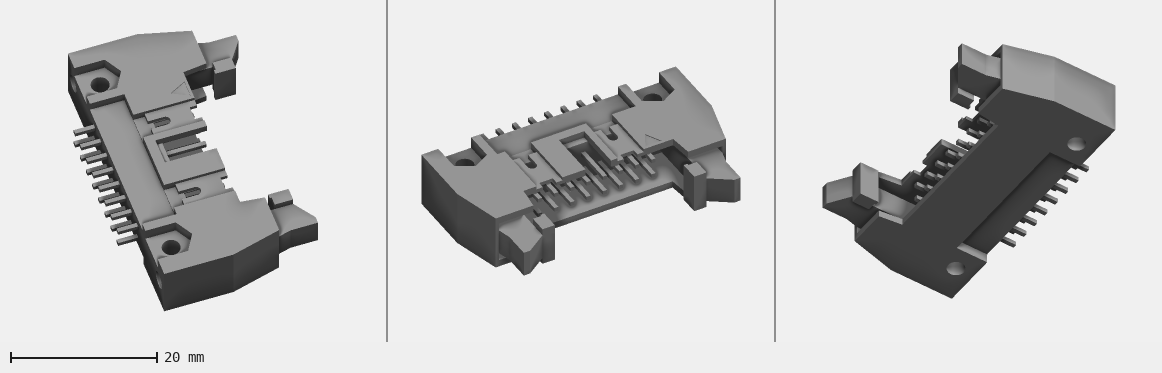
import cadquery as cq


body_width = 39.9
body_height = 8.5
shoulder_y = 10.0
mouth_y = 13.85
lower_lip_y = 13.73
tower_y = 17.3
tower_outer_x = 18.05
tower_inner_x = 12.13
tower_root_x = 11.75

pitch = 2.54
columns = 8
pin_size = 0.65
pin_tail = 2.9
pin_tip_y = 13.45

wall = 1.08
cavity_back_y = 7.4

recess_length = 5.0
top_recess_width = 21.7
top_recess_depth = 1.35
base_recess_width = 22.65
base_recess_depth = 1.5

key_width = 4.0
key_back_y = 6.4

channel_centers = (-2 * pitch, 3 * pitch)
channel_width = 4.05
channel_depth = 0.5
channel_step_y = 6.62
channel_step_depth = 1.15
slot_width = 1.35
slot_end_y = 9.6
notch_width = 2.1
notch_length = 1.05

hole_diameter = 2.6
mount_x = 14.72
mount_y = 2.85
pocket_width = 5.15
pocket_side_y = 4.4
pocket_apex_y = 5.85
pocket_depth = 1.8
end_hole_x = 17.75
end_hole_z = 4.4
end_hole_depth = 5.0

latch_outer_x = 17.5
latch_neck_x = 17.0
latch_crest_x = 16.0
latch_inner_x = 12.85
latch_bend_y = 19.3
latch_tip_y = 23.3
latch_thickness = 3.95
head_reach = 1.9
head_top_y = 21.15
head_base_y = 18.47
head_height = 6.0
hook_width = 0.65
hook_drop = 0.28

mark_width = 2.55
mark_top_y = 13.45
mark_tip_y = 11.0
mark_depth = 0.1

half_width = body_width / 2
mid_z = body_height / 2
first_pin_x = -pitch * (columns - 1) / 2


def box(x_range, y_range, z_range):
    """Box spanning the given (low, high) range along each axis."""
    spans = (x_range, y_range, z_range)
    size = [high - low for low, high in spans]
    corner = tuple(low for low, high in spans)
    return cq.Workplane("XY").box(*size, centered=False).translate(corner)


def centered_box(center_x, width, y_range, z_range):
    return box((center_x - width / 2, center_x + width / 2), y_range, z_range)


def prism(points, z_range):
    """Straight-sided outline in XY, raised through a Z range."""
    low, high = z_range
    return cq.Workplane("XY").workplane(offset=low).polyline(points).close().extrude(high - low)


def both_sides(shape):
    return shape.union(shape.mirror("YZ"))


def from_top(depth):
    """Z range of a cut of the given depth in the top face."""
    return (body_height - depth, body_height)


def about_middle(height):
    """Z range of the given height centred on the housing."""
    return (mid_z - height / 2, mid_z + height / 2)


def housing():
    right_side = [
        (half_width, 0),
        (half_width, shoulder_y),
        (tower_outer_x, tower_y),
        (tower_inner_x, tower_y),
        (tower_root_x, mouth_y),
    ]
    left_side = [(-x, y) for x, y in reversed(right_side)]
    return prism(right_side + left_side, (0, body_height))


def cavity():
    return centered_box(0, 2 * latch_outer_x, (cavity_back_y, tower_y), (wall, body_height - wall))


def lower_lip_setback():
    return centered_box(0, 2 * tower_root_x, (lower_lip_y, mouth_y), (0, wall))


def solder_side_recesses():
    top = centered_box(0, top_recess_width, (0, recess_length), from_top(top_recess_depth))
    base = centered_box(0, base_recess_width, (0, recess_length), (0, base_recess_depth))
    return top.union(base)


def key_window():
    return centered_box(0, key_width, (key_back_y, mouth_y), from_top(wall))


def spring_channel(center_x):
    """Stepped channel with a round-ended slot and a notch at the mouth."""
    floor = centered_box(center_x, channel_width, (recess_length, mouth_y), from_top(channel_depth))
    step = centered_box(
        center_x, channel_width, (recess_length, channel_step_y), from_top(channel_step_depth)
    )
    arc_y = slot_end_y - slot_width / 2
    slot = centered_box(center_x, slot_width, (channel_step_y, arc_y), from_top(channel_step_depth))
    slot_end = (
        cq.Workplane("XY")
        .workplane(offset=body_height - channel_step_depth)
        .center(center_x, arc_y)
        .circle(slot_width / 2)
        .extrude(channel_step_depth)
    )
    notch = centered_box(center_x, notch_width, (mouth_y - notch_length, mouth_y), from_top(wall))
    return floor.union(step).union(slot).union(slot_end).union(notch)


def mounting_cuts():
    """Pointed pocket with a through hole, and a blind hole in the solder side."""
    left = mount_x - pocket_width / 2
    right = mount_x + pocket_width / 2
    pocket = prism(
        [(left, 0), (right, 0), (right, pocket_side_y), (mount_x, pocket_apex_y), (left, pocket_side_y)],
        from_top(pocket_depth),
    )
    screw_hole = (
        cq.Workplane("XY").center(mount_x, mount_y).circle(hole_diameter / 2).extrude(body_height)
    )
    end_hole = (
        cq.Workplane("XZ")
        .center(end_hole_x, end_hole_z)
        .circle(hole_diameter / 2)
        .extrude(-end_hole_depth)
    )
    return both_sides(pocket.union(screw_hole).union(end_hole))


def pin_one_mark():
    left = first_pin_x - mark_width / 2
    right = first_pin_x + mark_width / 2
    return prism(
        [(left, mark_top_y), (right, mark_top_y), (first_pin_x, mark_tip_y)], from_top(mark_depth)
    )


def latches():
    lever = prism(
        [
            (latch_inner_x, cavity_back_y),
            (latch_outer_x, cavity_back_y),
            (latch_outer_x, tower_y),
            (latch_neck_x, latch_bend_y),
            (latch_neck_x, latch_tip_y),
            (latch_crest_x, latch_tip_y),
            (latch_inner_x, head_top_y),
        ],
        about_middle(latch_thickness),
    )
    head_tip_x = latch_inner_x - head_reach
    head_z = about_middle(head_height)
    head = box((head_tip_x, latch_inner_x), (head_base_y, head_top_y), head_z)
    hook = box((head_tip_x, head_tip_x + hook_width), (head_base_y - hook_drop, head_base_y), head_z)
    return both_sides(lever.union(head).union(hook))


def pin(center_x, center_z):
    z_range = (center_z - pin_size / 2, center_z + pin_size / 2)
    return centered_box(center_x, pin_size, (-pin_tail, pin_tip_y), z_range)


result = housing()
result = result.cut(cavity())
result = result.cut(lower_lip_setback())
result = result.cut(solder_side_recesses())
result = result.cut(key_window())
for channel_x in channel_centers:
    result = result.cut(spring_channel(channel_x))
result = result.cut(mounting_cuts())
result = result.cut(pin_one_mark())
result = result.union(latches())
for column in range(columns):
    for row_z in (mid_z - pitch / 2, mid_z + pitch / 2):
        result = result.union(pin(first_pin_x + column * pitch, row_z))